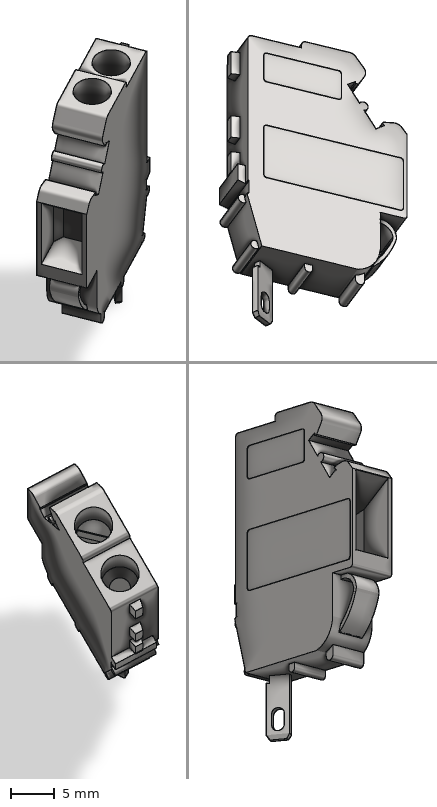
import cadquery as cq

width = 6.1
depth = 19.78
height = 37.53
side_x = width / 2
overall_depth = 20.8
bottom_z = 7.65
shelf_z = 16.33

rear_top_z = 36.55
step_y = 13.1
nose_top_y = 6.68
nose_tip = (4.9, 35.28)
upper_lip = [(6.05, 33.45), (6.38, 33.4), (6.4, 33.65)]
rear_top_radius = 0.5
step_radius = 0.53
nose_top_radius = 0.9
nose_tip_radius = 1.05

slope_top = (7.4, 33.03)
slope_bottom = (3.85, 27.8)
lower_lip = [(2.8, 28.52), (3.08, 28.8), (2.95, 28.97)]
shoulder_start = (1.7, 29.25)
shoulder_mid = (1.13, 29.2)
shoulder_end = (0.68, 28.9)
front_top_z = 28.07
front_bottom_radius = 0.38

foot_front_y = 3.35
foot_arc_start_z = 11.15
foot_arc_mid = (4.3, 8.75)
foot_arc_end_y = 6.08
rear_bottom_y = 18.05
rear_taper_top = (19.9, 14.45)
rear_relief_y = 19.63
rear_relief_z = 14.7

bead_radius = 0.55
groove_bead = (5.4, 30.55)
rear_beads = [(20.08, 14.15), (18.55, 8.2)]
rear_bead_inset = 0.75
peg_inset = 1.3
peg_bottom_z = 6.6
peg_top_z = 9.0
pegs = [(11.67, 0.5), (5.3, bead_radius)]

dovetail_base = 1.43
dovetail_tip = 0.95
dovetail_spans = [(32.5, 35.58), (23.7, 26.65), (18.85, 21.65)]
lug_inset = rear_bead_inset
lug_rear_y = 20.7
lug_top_z = 18.85
lug_slope = 0.25

clip_width = 3.53
clip_root_y = 2.3
clip_outer_bow = [(1.15, 15.5), (0.75, 14.22)]
clip_outer_leg = [(0.83, 13.9), (1.85, 11.65), (3.65, 9.55)]
clip_inner_z = 15.8
clip_inner_bow = [(1.2, 14.35), (1.85, 15.42)]
clip_inner_leg = [(2.1, 12.15), (1.25, 13.92)]
clip_foot_y = 4.0
clip_foot_z = 10.55

panels = [(8.15, 17.8, 30.65, 34.65), (0.45, 17.8, 17.35, 24.62)]
panel_radius = 0.38
panel_depth = 0.08

pocket_width = 4.95
pocket_bottom_z = 18.45
pocket_top_z = 28.0
pocket_straight_depth = 4.05
pocket_taper = 0.75
pocket_taper_depth = 1.13
pocket_depth = pocket_straight_depth + pocket_taper_depth
pocket_back_z = 24.4

bore_radius = 2.18
wire_y = 16.25
wire_bore_depth = 4.5
wire_cone_depth = 1.13
wire_floor_radius = 1.2
screw_y = 10.02
screw_bore_depth = 5.25
screw_radius = 2.05
screw_head_height = 0.75
screw_slot_width = 0.8
screw_slot_depth = 0.38
screw_slot_angle = -43.0

blade_width = 2.8
blade_thickness = 0.8
blade_center = (0.6, 16.4)
blade_angle = 30.0
blade_top_z = 9.4
blade_tip_height = 0.55
blade_tip_width = 2.05
blade_tip_thickness = 0.65
blade_notch_width = 0.38
blade_notch_z = 6.8
blade_slot_width = 1.5
blade_slot_length = 2.75
blade_slot_z = 2.4


def side_plane(x):
    """YZ plane at the given X, extruding toward +X."""
    return cq.Workplane("YZ", origin=(x, 0, 0))


def block(x, y, z):
    """Box given by its (start, end) along each axis."""
    size = [end - start for start, end in (x, y, z)]
    return cq.Workplane("XY").box(*size, centered=False).translate((x[0], y[0], z[0]))


def round_corner(solid, y, z, radius):
    """Fillet the X-running edge at (y, z)."""
    return solid.edges(cq.NearestToPointSelector((0, y, z))).fillet(radius)


def make_housing():
    body = (
        side_plane(-side_x)
        .moveTo(rear_bottom_y, bottom_z)
        .lineTo(*rear_taper_top)
        .lineTo(rear_relief_y, rear_relief_z)
        .lineTo(rear_relief_y, shelf_z)
        .lineTo(depth, shelf_z)
        .lineTo(depth, rear_top_z)
        .lineTo(step_y, rear_top_z)
        .lineTo(step_y, height)
        .lineTo(nose_top_y, height)
        .lineTo(*nose_tip)
    )
    for point in upper_lip + [slope_top, slope_bottom] + lower_lip:
        body = body.lineTo(*point)
    body = (
        body.lineTo(*shoulder_start)
        .threePointArc(shoulder_mid, shoulder_end)
        .lineTo(0, front_top_z)
        .lineTo(0, shelf_z)
        .lineTo(foot_front_y, shelf_z)
        .lineTo(foot_front_y, foot_arc_start_z)
        .threePointArc(foot_arc_mid, (foot_arc_end_y, bottom_z))
        .close()
        .extrude(width)
    )
    body = round_corner(body, depth, rear_top_z, rear_top_radius)
    body = round_corner(body, step_y, height, step_radius)
    body = round_corner(body, nose_top_y, height, nose_top_radius)
    body = round_corner(body, *nose_tip, nose_tip_radius)
    return round_corner(body, 0, shelf_z, front_bottom_radius)


def make_bead(center, start_x):
    return side_plane(start_x).center(*center).circle(bead_radius).extrude(side_x - start_x)


def make_peg(y, radius):
    """Round-ended rib hanging below the housing."""
    return (
        side_plane(peg_inset - side_x)
        .moveTo(y - radius, peg_top_z)
        .lineTo(y - radius, peg_bottom_z + radius)
        .threePointArc((y, peg_bottom_z), (y + radius, peg_bottom_z + radius))
        .lineTo(y + radius, peg_top_z)
        .close()
        .extrude(width - peg_inset)
    )


def make_dovetail(start_z, end_z):
    outline = [
        (-dovetail_base / 2, depth),
        (dovetail_base / 2, depth),
        (dovetail_tip / 2, overall_depth),
        (-dovetail_tip / 2, overall_depth),
    ]
    return cq.Workplane("XY", origin=(0, 0, start_z)).polyline(outline).close().extrude(end_z - start_z)


def make_lug():
    outline = [
        (depth, shelf_z),
        (lug_rear_y, shelf_z + lug_slope),
        (lug_rear_y, lug_top_z),
        (depth, lug_top_z),
    ]
    return side_plane(lug_inset - side_x).polyline(outline).close().extrude(width - lug_inset)


def make_clip():
    """Curved spring strip from the shelf back to the rounded foot."""
    return (
        side_plane(-clip_width / 2)
        .moveTo(foot_front_y, shelf_z)
        .lineTo(clip_root_y, shelf_z)
        .threePointArc(*clip_outer_bow)
        .lineTo(*clip_outer_leg[0])
        .threePointArc(*clip_outer_leg[1:])
        .lineTo(clip_foot_y, clip_foot_z)
        .lineTo(foot_front_y, clip_foot_z)
        .threePointArc(*clip_inner_leg)
        .lineTo(*clip_inner_bow[0])
        .threePointArc(clip_inner_bow[1], (foot_front_y, clip_inner_z))
        .close()
        .extrude(clip_width)
    )


def make_panel(start_y, end_y, start_z, end_z):
    return (
        block((-side_x, panel_depth - side_x), (start_y, end_y), (start_z, end_z))
        .edges("|X")
        .fillet(panel_radius)
    )


def make_pocket():
    """Flat-floored pocket with a falling ceiling and angled rear corners."""
    half = pocket_width / 2
    plan = [
        (-half, 0),
        (half, 0),
        (half, pocket_straight_depth),
        (half - pocket_taper, pocket_depth),
        (pocket_taper - half, pocket_depth),
        (-half, pocket_straight_depth),
    ]
    side = [
        (0, pocket_bottom_z),
        (0, pocket_top_z),
        (pocket_depth, pocket_back_z),
        (pocket_depth, pocket_bottom_z),
    ]
    floor = cq.Workplane("XY", origin=(0, 0, pocket_bottom_z))
    column = floor.polyline(plan).close().extrude(pocket_top_z - pocket_bottom_z)
    return column.intersect(side_plane(-half).polyline(side).close().extrude(pocket_width))


def make_wire_bore():
    """Straight bore ending in a funnel."""
    cone_z = rear_top_z - wire_bore_depth
    profile = [
        (0, rear_top_z),
        (bore_radius, rear_top_z),
        (bore_radius, cone_z),
        (wire_floor_radius, cone_z - wire_cone_depth),
        (0, cone_z - wire_cone_depth),
    ]
    return cq.Workplane("XZ").polyline(profile).close().revolve(360, (0, 0), (0, 1)).translate((0, wire_y, 0))


def make_screw_bore():
    """Straight bore, less the slotted screw head standing on its floor."""
    floor_z = height - screw_bore_depth
    floor = cq.Workplane("XY", origin=(0, screw_y, floor_z))
    head = floor.circle(screw_radius).extrude(screw_head_height)
    slot = (
        floor.workplane(offset=screw_head_height - screw_slot_depth)
        .transformed(rotate=(0, 0, screw_slot_angle))
        .rect(2 * bore_radius, screw_slot_width)
        .extrude(screw_slot_depth)
    )
    return floor.circle(bore_radius).extrude(screw_bore_depth).cut(head.cut(slot))


def make_blade():
    """Slotted flat blade with a tapered tip, built along Y and then turned."""
    tip = (
        cq.Workplane("XY")
        .rect(blade_tip_thickness, blade_tip_width)
        .workplane(offset=blade_tip_height)
        .rect(blade_thickness, blade_width)
        .loft(combine=True)
    )
    half_thickness = blade_thickness / 2
    half_width = blade_width / 2
    across = (-half_thickness, half_thickness)
    shank = block(across, (-half_width, half_width), (blade_tip_height, blade_top_z))
    notch = block(across, (half_width - blade_notch_width, half_width), (blade_notch_z, blade_top_z))
    slot = (
        side_plane(-half_thickness)
        .center(0, blade_slot_z)
        .slot2D(blade_slot_length, blade_slot_width, 90)
        .extrude(blade_thickness)
    )
    blade = tip.union(shank).cut(notch).cut(slot)
    return blade.rotate((0, 0, 0), (0, 0, 1), blade_angle).translate((*blade_center, 0))


result = make_housing()
result = result.union(make_bead(groove_bead, -side_x))
for bead in rear_beads:
    result = result.union(make_bead(bead, rear_bead_inset - side_x))
for peg in pegs:
    result = result.union(make_peg(*peg))
for span in dovetail_spans:
    result = result.union(make_dovetail(*span))
result = result.union(make_lug()).union(make_clip()).union(make_blade())

for panel in panels:
    result = result.cut(make_panel(*panel))
result = result.cut(make_pocket()).cut(make_wire_bore()).cut(make_screw_bore())